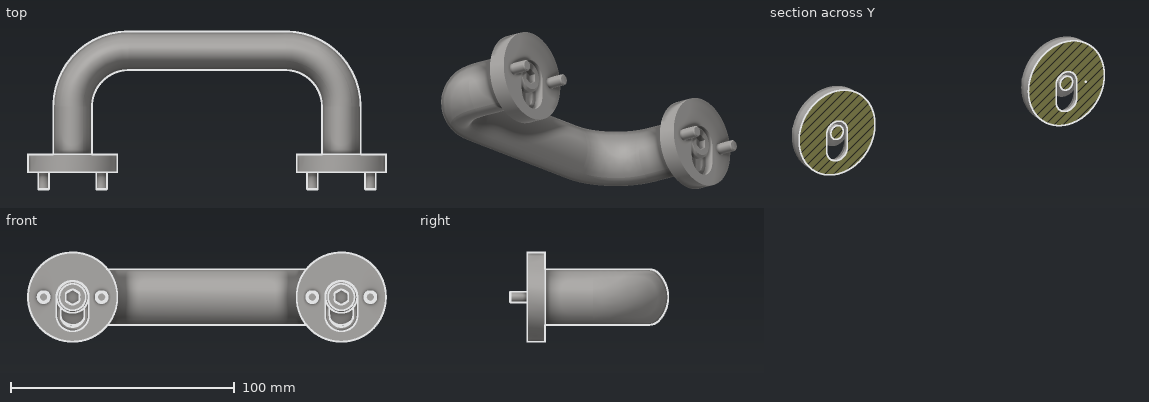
import cadquery as cq
import math

total_length = 160.0
total_depth = 70.9
foot_diameter = 40.0
foot_thickness = 8.0
foot_x = (total_length - foot_diameter) / 2

grip_width = 17.5
grip_height = 25.0
grip_end_radius = 6.2
bend_radius = 25.0

pin_hole_diameter = 5.5
pin_hole_depth = 4.0
pin_diameter = 5.0
pin_length = 7.8
pin_chamfer = 0.5
pin_offset = 13.0

slot_travel = 8.0
wide_slot_width = 14.5
narrow_slot_width = 10.5
wide_slot_depth = 4.0

head_diameter = 14.0
head_recess = 0.8
head_chamfer = 1.1
shank_diameter = 6.7
socket_flats = 6.0
socket_depth = 3.2

grip_crown = total_depth - pin_length
bow_line_y = grip_crown - grip_width / 2
bend_start_y = bow_line_y - bend_radius
bend_end_x = foot_x - bend_radius


def facing_y(y):
    """Sketch plane at depth y with X across and Z up; a positive extrusion runs toward -Y."""
    return cq.Workplane(cq.Plane(origin=(0, y, 0), xDir=(1, 0, 0), normal=(0, -1, 0)))


def oval_section(plane):
    """Oval of two end arcs and two flatter side arcs that meet tangentially."""
    half_w = grip_width / 2
    half_h = grip_height / 2
    end_centre = half_h - grip_end_radius
    inset = half_w - grip_end_radius
    side_centre = (end_centre**2 - inset**2) / (2 * inset)
    angle = math.atan2(end_centre, side_centre)
    joint_x = grip_end_radius * math.cos(angle)
    joint_z = end_centre + grip_end_radius * math.sin(angle)
    return (
        plane.moveTo(joint_x, joint_z)
        .threePointArc((0, half_h), (-joint_x, joint_z))
        .threePointArc((-half_w, 0), (-joint_x, -joint_z))
        .threePointArc((0, -half_h), (joint_x, -joint_z))
        .threePointArc((half_w, 0), (joint_x, joint_z))
        .close()
    )


def grip():
    """Bow swept from the back of one foot to the back of the other."""
    path = (
        cq.Workplane("XY")
        .moveTo(-foot_x, foot_thickness)
        .lineTo(-foot_x, bend_start_y)
        .radiusArc((-bend_end_x, bow_line_y), bend_radius)
        .lineTo(bend_end_x, bow_line_y)
        .radiusArc((foot_x, bend_start_y), bend_radius)
        .lineTo(foot_x, foot_thickness)
    )
    start = facing_y(foot_thickness).center(-foot_x, 0)
    return oval_section(start).sweep(path)


def slot(width, depth):
    """Upright slot cut from the mounting face, running down from the foot centre."""
    return (
        facing_y(0)
        .center(0, -slot_travel / 2)
        .slot2D(slot_travel + width, width, 90)
        .extrude(-depth)
    )


def pin_hole():
    """Blind hole that leaves a thin gap around a pin."""
    return facing_y(0).circle(pin_hole_diameter / 2).extrude(-pin_hole_depth)


def pin():
    """Chamfered pin rising from the hole floor and out past the mounting face."""
    return (
        facing_y(pin_hole_depth)
        .circle(pin_diameter / 2)
        .extrude(pin_hole_depth + pin_length)
        .faces("<Y")
        .chamfer(pin_chamfer)
    )


def screw():
    """Screw with a chamfered head and a hexagon socket."""
    head = (
        facing_y(head_recess)
        .circle(head_diameter / 2)
        .extrude(head_recess - wide_slot_depth)
        .faces("<Y")
        .chamfer(head_chamfer)
    )
    shank = facing_y(head_recess).circle(shank_diameter / 2).extrude(head_recess - foot_thickness)
    socket = (
        facing_y(head_recess)
        .transformed(rotate=(0, 0, 90))
        .polygon(6, socket_flats / math.cos(math.pi / 6))
        .extrude(-socket_depth)
    )
    return head.union(shank).cut(socket)


def foot():
    """Round foot with its slot, screw and pair of pins, centred on X = 0."""
    body = facing_y(0).circle(foot_diameter / 2).extrude(-foot_thickness)
    body = body.cut(slot(wide_slot_width, wide_slot_depth))
    body = body.cut(slot(narrow_slot_width, foot_thickness))
    body = body.union(screw())
    for side in (-1, 1):
        place = (side * pin_offset, 0, 0)
        body = body.cut(pin_hole().translate(place)).union(pin().translate(place))
    return body


result = grip()
for side in (-1, 1):
    result = result.union(foot().translate((side * foot_x, 0, 0)))